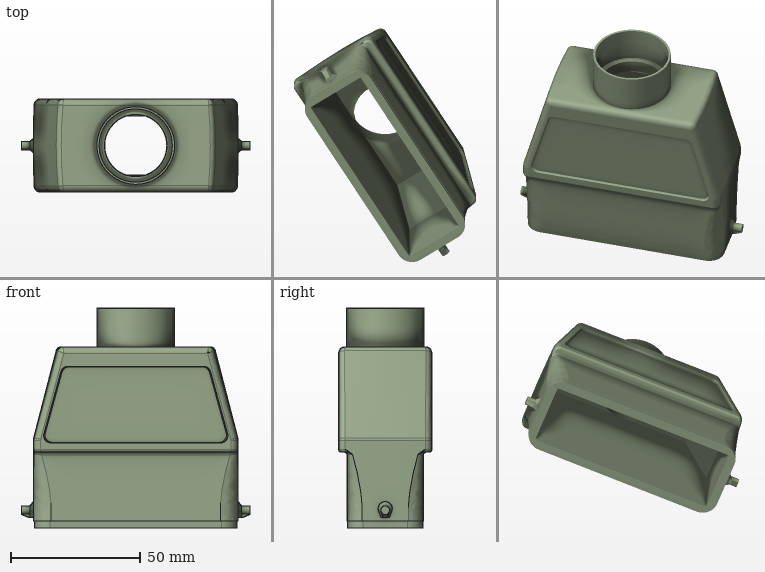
import cadquery as cq
import math

base_half_length = 39.2
base_half_width = 14.6
base_height = 2.65
base_corner_radius = 6.1
body_half_width = 14.7
end_bow = 0.35
hood_bottom = 29.3
corner_levels = ((base_height, 6.8), (15.0, 6.2), (hood_bottom, 2.8))

hood_half_width = 18.0
hood_top = 70.0
shoulder_z = 34.35
hood_top_half_length = 29.45
hood_top_bow = 0.9
hood_round = 2.5
shoulder_round = 4.0
hood_end_round = 2.0
step_round = 1.0

collar_diameter = 30.0
collar_bore = 28.3
cable_hole = 24.0
collar_top = 85.0
bore_floor = 71.5

cavity_half_width = 11.4
end_wall = 3.4
cavity_top = 66.5

recess_bottom = 32.9
recess_top = 62.45
recess_margin = 3.15
recess_depth = 1.0
recess_side_draft = 0.45
recess_edge_draft = 0.2
recess_corner_radius = 2.8

pin_diameter = 3.3
pin_z = 6.9
pin_tip = 44.15
boss_tip = 40.9
boss_root_radius = 3.0
boss_root_z = 7.65
boss_root_foot = 1.75
boss_tip_foot = 1.0
foot_z = 4.05
gusset_width = 1.8
gusset_knee = 41.3
gusset_tip_z = pin_z - pin_diameter / 2

overrun = 1.0
snug = 0.1

body_half_length = base_half_length + end_bow
lean = (base_half_length - hood_top_half_length) / (hood_top - shoulder_z)


def half_length_at(z):
    """Half length of the hood along its corners at height z."""
    return base_half_length - lean * max(0.0, z - shoulder_z)


def raised(sketch, z):
    return sketch.moved(cq.Location(cq.Vector(0, 0, z)))


def bowed_plan(half_length, bow):
    """Hood plan whose two X ends bulge outward as arcs."""
    right_back = (half_length, hood_half_width)
    right_front = (half_length, -hood_half_width)
    left_front = (-half_length, -hood_half_width)
    left_back = (-half_length, hood_half_width)
    return (
        cq.Sketch()
        .segment(left_back, right_back)
        .arc(right_back, (half_length + bow, 0), right_front)
        .segment(right_front, left_front)
        .arc(left_front, (-half_length - bow, 0), left_back)
        .assemble()
    )


def make_hood():
    """Full-width hood, still running straight down to the top of the base."""
    plan = bowed_plan(base_half_length, end_bow)
    top_plan = bowed_plan(hood_top_half_length, hood_top_bow)
    column = (
        cq.Workplane("XY", origin=(0, 0, base_height))
        .placeSketch(plan)
        .extrude(shoulder_z - base_height)
    )
    roof = (
        cq.Workplane("XY")
        .placeSketch(raised(plan, shoulder_z), raised(top_plan, hood_top))
        .loft()
    )
    hood = column.union(roof)

    shoulder = cq.selectors.BoxSelector(
        (-body_half_length - overrun, -overrun, shoulder_z - overrun),
        (body_half_length + overrun, overrun, shoulder_z + overrun),
    )
    hood = hood.edges(shoulder).fillet(shoulder_round)
    for side in (1, -1):
        rim = cq.selectors.BoxSelector(
            (-body_half_length, side * (hood_half_width - snug), base_height + snug),
            (body_half_length, side * (hood_half_width + snug), hood_top + snug),
        )
        hood = hood.edges(rim).fillet(hood_round)
    return hood.faces(">Z").edges("not(|X)").fillet(hood_end_round)


def make_step_cutter():
    """Bar that narrows the part below the hood on the +Y side."""
    return cq.Workplane("XY", origin=(0, body_half_width, 0)).box(
        2 * (body_half_length + overrun),
        hood_half_width - body_half_width + overrun,
        hood_bottom,
        centered=(True, False, False),
    )


def make_corner_cutter():
    """What the lower body loses to its four corner rounds of changing radius."""
    sections = [
        raised(
            cq.Sketch().rect(2 * body_half_length, 2 * body_half_width).vertices().fillet(radius), z
        )
        for z, radius in corner_levels
    ]
    rounded = cq.Workplane("XY").placeSketch(*sections).loft()
    reach = corner_levels[0][1]
    blocks = (
        cq.Workplane("XY", origin=(0, 0, base_height))
        .rect(2 * body_half_length - reach, 2 * body_half_width - reach, forConstruction=True)
        .vertices()
        .rect(reach, reach)
        .extrude(hood_bottom - base_height)
    )
    return blocks.cut(rounded)


def make_base():
    return (
        cq.Workplane("XY")
        .rect(2 * base_half_length, 2 * base_half_width)
        .extrude(base_height)
        .edges("|Z")
        .fillet(base_corner_radius)
    )


def make_collar():
    return (
        cq.Workplane("XY", origin=(0, 0, cavity_top))
        .circle(collar_diameter / 2)
        .extrude(collar_top - cavity_top)
    )


def make_cavity():
    """Hollow that follows the hood's ends, with the cable hole and bore above it."""
    low = base_half_length - end_wall
    high = half_length_at(cavity_top) - end_wall
    hollow = (
        cq.Workplane("XZ")
        .polyline(
            [(-low, 0), (low, 0), (low, shoulder_z), (high, cavity_top),
             (-high, cavity_top), (-low, shoulder_z)]
        )
        .close()
        .extrude(cavity_half_width, both=True)
    )
    hole = (
        cq.Workplane("XY", origin=(0, 0, cavity_top))
        .circle(cable_hole / 2)
        .extrude(collar_top - cavity_top)
    )
    bore = (
        cq.Workplane("XY", origin=(0, 0, bore_floor))
        .circle(collar_bore / 2)
        .extrude(collar_top - bore_floor)
    )
    return hollow.union(hole).union(bore)


def recess_outline(side_inset, edge_inset):
    """Rounded trapezoid parallel to the hood's leaning ends."""
    low_z = recess_bottom + edge_inset
    high_z = recess_top - edge_inset
    low = base_half_length - lean * (low_z - shoulder_z) - recess_margin - side_inset
    high = half_length_at(high_z) - recess_margin - side_inset
    return (
        cq.Sketch()
        .polygon([(-low, low_z), (low, low_z), (high, high_z), (-high, high_z), (-low, low_z)])
        .vertices()
        .fillet(recess_corner_radius)
    )


def make_recess():
    """Drafted label recess in the -Y side."""
    mouth = recess_outline(0, 0)
    floor = recess_outline(recess_side_draft, recess_edge_draft)
    return (
        cq.Workplane("XZ", origin=(0, -hood_half_width, 0))
        .placeSketch(mouth, raised(floor, -recess_depth))
        .loft()
    )


def boss_section(radius, center_z, half_foot):
    """Round top whose two tangents run down to a flat foot, as a sketch in Y and Z."""
    drop = center_z - foot_z
    to_corner = math.hypot(half_foot, drop)
    tangent_angle = math.atan2(-drop, half_foot) + math.acos(radius / to_corner)
    touch_y = radius * math.cos(tangent_angle)
    touch_z = center_z + radius * math.sin(tangent_angle)
    return (
        cq.Sketch()
        .segment((-half_foot, foot_z), (half_foot, foot_z))
        .segment((half_foot, foot_z), (touch_y, touch_z))
        .arc((touch_y, touch_z), (0, center_z + radius), (-touch_y, touch_z))
        .segment((-touch_y, touch_z), (-half_foot, foot_z))
        .assemble()
    )


def make_locking_pin():
    """Pin on the +X end with its pear-shaped boss and the gusset underneath."""
    root_x = base_half_length
    radius = pin_diameter / 2
    pin = cq.Workplane("YZ", origin=(root_x, 0, pin_z)).circle(radius).extrude(pin_tip - root_x)
    root = boss_section(boss_root_radius, boss_root_z, boss_root_foot)
    tip = boss_section(radius, pin_z, boss_tip_foot)
    boss = (
        cq.Workplane("YZ", origin=(root_x, 0, 0))
        .placeSketch(root, raised(tip, boss_tip - root_x))
        .loft()
    )
    gusset = (
        cq.Workplane("XZ")
        .polyline(
            [(root_x, foot_z), (gusset_knee, foot_z), (pin_tip, gusset_tip_z),
             (pin_tip, pin_z), (root_x, pin_z)]
        )
        .close()
        .extrude(gusset_width / 2, both=True)
    )
    return pin.union(boss).union(gusset)


def make_shell():
    """Hood stepped down to the narrower lower body, with the step rounded all along."""
    step_cutter = make_step_cutter()
    shell = make_hood().cut(step_cutter).cut(step_cutter.mirror("XZ"))
    shell = shell.cut(make_corner_cutter())
    step_level = cq.selectors.BoxSelector(
        (-body_half_length, -hood_half_width, hood_bottom - snug),
        (body_half_length, hood_half_width, hood_bottom + snug),
    )
    return shell.edges(step_level).fillet(step_round)


result = make_shell().union(make_base()).union(make_collar())

pin = make_locking_pin()
result = result.union(pin).union(pin.mirror("YZ"))

recess = make_recess()
result = result.cut(recess).cut(recess.mirror("XZ"))
result = result.cut(make_cavity())